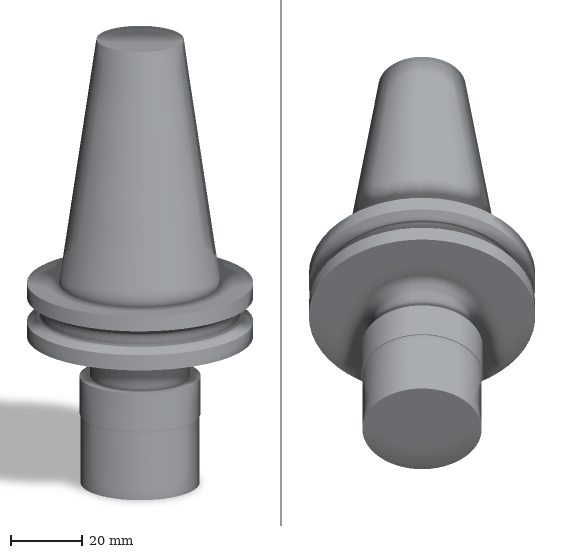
import cadquery as cq
import math

total_length = 130.4

gauge_diameter = 44.45
taper_ratio = 7 / 24
taper_length = 68.4
gauge_to_flange = 3.2

flange_diameter = 63.55
flange_thickness = 15.9
groove_floor_diameter = 56.0
groove_mouth_width = 7.0
groove_slot_width = 3.75
slot_root_fillet = 0.5
groove_center_drop = 7.9
groove_flank_slope = math.tan(math.radians(30))

neck_diameter = 28.0
neck_fillet = 3.0
collar_diameter = 34.0
collar_length = 11.0
nut_diameter = 33.5
nut_length = 20.4

taper_small_radius = (gauge_diameter - taper_ratio * taper_length) / 2
taper_large_radius = (gauge_diameter + taper_ratio * gauge_to_flange) / 2
flange_radius = flange_diameter / 2
groove_floor_radius = groove_floor_diameter / 2
neck_radius = neck_diameter / 2

shank_end_z = taper_length
flange_top_z = -gauge_to_flange
flange_bottom_z = flange_top_z - flange_thickness
nut_bottom_z = taper_length - total_length
collar_bottom_z = nut_bottom_z + nut_length
collar_top_z = collar_bottom_z + collar_length


def make_cylinder(diameter, bottom_z, top_z):
    """Solid cylinder on the Z axis between two heights."""
    return cq.Workplane("XY").workplane(offset=bottom_z).circle(diameter / 2).extrude(top_z - bottom_z)


def turn(profile):
    """Full revolution of an XZ half profile about the Z axis."""
    return profile.revolve(360, (0, 0, 0), (0, 1, 0))


def make_shank():
    """Conical shank from the flange face to the small end."""
    profile = (
        cq.Workplane("XZ")
        .moveTo(0, flange_top_z)
        .lineTo(taper_large_radius, flange_top_z)
        .lineTo(taper_small_radius, shank_end_z)
        .lineTo(0, shank_end_z)
        .close()
    )
    return turn(profile)


def make_flange():
    """Flange disc with a symmetric, stepped gripper groove around its rim."""
    center_z = flange_top_z - groove_center_drop
    mouth_half = groove_mouth_width / 2
    slot_half = groove_slot_width / 2
    slot_lip_radius = flange_radius - (mouth_half - slot_half) / groove_flank_slope
    profile = (
        cq.Workplane("XZ")
        .moveTo(0, flange_bottom_z)
        .lineTo(flange_radius, flange_bottom_z)
        .lineTo(flange_radius, center_z - mouth_half)
        .lineTo(slot_lip_radius, center_z - slot_half)
        .lineTo(groove_floor_radius, center_z - slot_half)
        .lineTo(groove_floor_radius, center_z + slot_half)
        .lineTo(slot_lip_radius, center_z + slot_half)
        .lineTo(flange_radius, center_z + mouth_half)
        .lineTo(flange_radius, flange_top_z)
        .lineTo(0, flange_top_z)
        .close()
    )
    flange = turn(profile)
    slot_root_edges = flange.edges(cq.selectors.RadiusNthSelector(0))
    return slot_root_edges.fillet(slot_root_fillet)


def make_neck():
    """Neck that flares into the flange through a concave fillet."""
    fillet_start_z = flange_bottom_z - neck_fillet
    flare_radius = neck_radius + neck_fillet
    arc_offset = neck_fillet * (1 - math.cos(math.radians(45)))
    profile = (
        cq.Workplane("XZ")
        .moveTo(0, collar_top_z)
        .lineTo(neck_radius, collar_top_z)
        .lineTo(neck_radius, fillet_start_z)
        .threePointArc(
            (neck_radius + arc_offset, flange_bottom_z - arc_offset),
            (flare_radius, flange_bottom_z),
        )
        .lineTo(0, flange_bottom_z)
        .close()
    )
    return turn(profile)


collar = make_cylinder(collar_diameter, collar_bottom_z, collar_top_z)
nut = make_cylinder(nut_diameter, nut_bottom_z, collar_bottom_z)

result = make_shank().union(make_flange()).union(make_neck()).union(collar).union(nut)